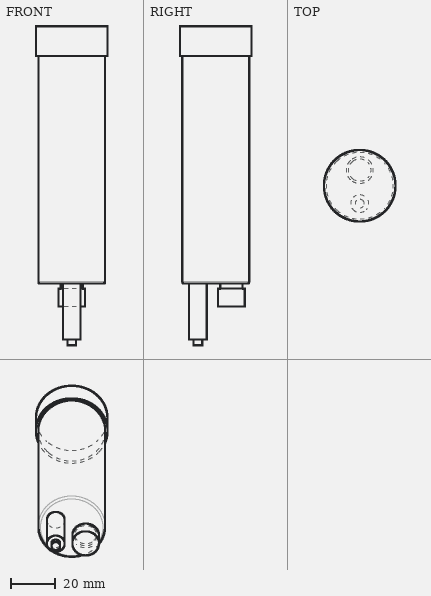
import cadquery as cq

total_height = 142.5
cap_diameter = 32.0
cap_height = 13.4
body_diameter = 29.9
body_bottom = 27.5
body_edge_fillet = 1.0

pin_y = -8.0
pin_diameter = 8.0
pin_tip_diameter = 4.0
pin_tip_height = 2.5

knob_y = 7.0
knob_diameter = 12.0
knob_height = 8.1
neck_diameter = 10.0
neck_height = 2.1


def cylinder(diameter, bottom, top, y=0.0):
    """Vertical cylinder between two heights, centred at X = 0 and the given Y."""
    return cq.Workplane("XY", origin=(0, y, bottom)).circle(diameter / 2).extrude(top - bottom)


cap_bottom = total_height - cap_height
neck_bottom = body_bottom - neck_height
knob_bottom = neck_bottom - knob_height

cap = cylinder(cap_diameter, cap_bottom, total_height)
body = cylinder(body_diameter, body_bottom, cap_bottom).faces("<Z").edges().fillet(body_edge_fillet)

pin = cylinder(pin_diameter, pin_tip_height, body_bottom, pin_y)
pin_tip = cylinder(pin_tip_diameter, 0.0, pin_tip_height, pin_y)

neck = cylinder(neck_diameter, neck_bottom, body_bottom, knob_y)
knob = cylinder(knob_diameter, knob_bottom, neck_bottom, knob_y)

result = cap.union(body).union(pin).union(pin_tip).union(neck).union(knob)